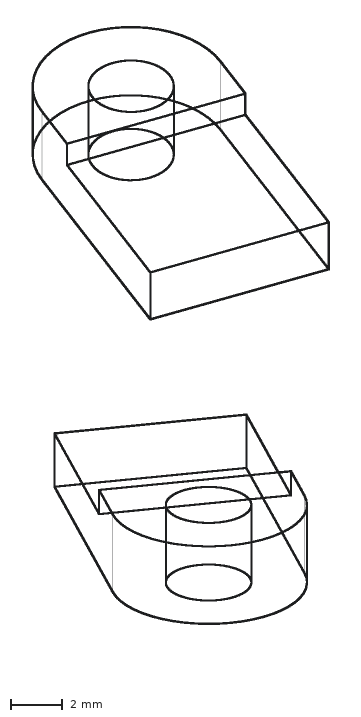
import cadquery as cq

length = 13.72
width = 7.61
eye_height = 3.3
tongue_height = 2.28
hole_diameter = 3.3

end_radius = width / 2
tongue_length = width
eye_length = length - tongue_length


def lug_blank():
    """Full-height plate with one rounded end, centred on the hole axis."""
    straight_end = length - end_radius
    return (
        cq.Workplane("XY")
        .moveTo(0, end_radius)
        .threePointArc((-end_radius, 0), (0, -end_radius))
        .lineTo(straight_end, -end_radius)
        .lineTo(straight_end, end_radius)
        .close()
        .extrude(eye_height)
    )


def tongue_step():
    """Material removed above the thin tongue."""
    return (
        cq.Workplane("XY")
        .box(tongue_length, width, eye_height - tongue_height, centered=(False, True, False))
        .translate((eye_length - end_radius, 0, tongue_height))
    )


def eye_hole():
    """Through hole concentric with the rounded end."""
    return cq.Workplane("XY").circle(hole_diameter / 2).extrude(eye_height)


result = lug_blank().cut(tongue_step()).cut(eye_hole())